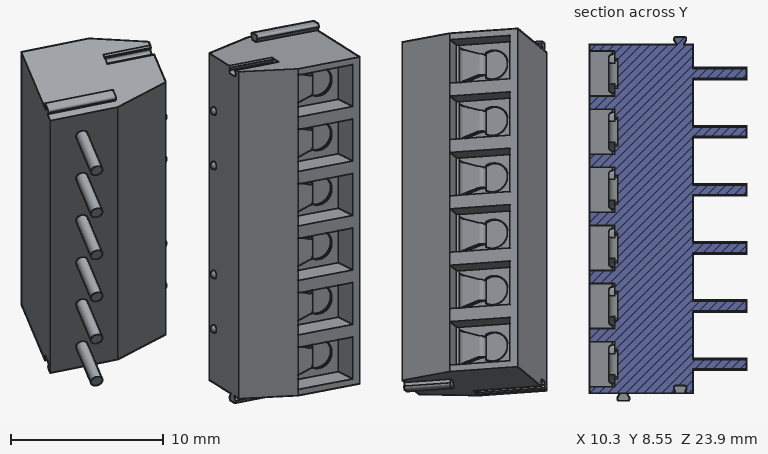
import cadquery as cq
import math

POLES = 6
PITCH = 3.81
BODY_HEIGHT = POLES * PITCH
BODY_WIDTH = 6.8
BODY_DEPTH = 8.3
SHOULDER_Y = 4.62
TAPER_INSET = 1.4

PIN_DIAMETER = 0.8
PIN_LENGTH = 3.5
AXIS_Y = 2.15

WELL_HEIGHT = 2.93
WELL_DEPTH = 1.65
WELL_FRONT_Y = 0.52
WELL_FLOOR_FRONT_Y = 0.7
WELL_CHAMFER = 0.15

HOLE_DIAMETER = 1.95
HOLE_DEPTH = 0.2

TONGUE_HEIGHT = 0.37
TONGUE_REAR_Y = SHOULDER_Y - WELL_CHAMFER
TONGUE_REAR_BEND_Y = TONGUE_REAR_Y - TONGUE_HEIGHT
TONGUE_FRONT_Y = 2.67
TONGUE_FRONT_BEND_Y = TONGUE_FRONT_Y + TONGUE_HEIGHT
TONGUE_REAR_HALF = 1.29
TONGUE_REAR_BEND_HALF = 1.07
TONGUE_FRONT_BEND_HALF = 0.72
TONGUE_FRONT_HALF = 0.68

FRONT_RAIL_INSET = 0.85
FRONT_RAIL_X = BODY_WIDTH - FRONT_RAIL_INSET
REAR_RAIL_X = 2.23
RAIL_HEIGHT = 0.5
RAIL_NECK_HALF = 0.23
RAIL_HEAD_HALF = 0.41
RAIL_HEAD_START = 0.29
RAIL_CORNER_RADIUS = 0.15
SLOT_MOUTH_HALF = 0.47
SLOT_NECK_HALF = 0.31
SLOT_NECK_DEPTH = 0.08
SLOT_HEAD_HALF = 0.41
SLOT_HEAD_START = 0.3
FRONT_RAIL_LENGTH = SHOULDER_Y
REAR_RAIL_LENGTH = 3.15
REAR_SLOT_LENGTH = 3.2

NUB_BOUNDARIES = (1, 2, 4, 5)
NUB_X = 4.7
NUB_HEIGHT = 0.25
NUB_BASE_RADIUS = 0.28


def housing():
    outline = [
        (0, 0),
        (BODY_WIDTH, 0),
        (BODY_WIDTH, SHOULDER_Y),
        (BODY_WIDTH - TAPER_INSET, BODY_DEPTH),
        (TAPER_INSET, BODY_DEPTH),
        (0, SHOULDER_Y),
    ]
    return cq.Workplane("XY").polyline(outline).close().extrude(BODY_HEIGHT)


def tongue(z_center):
    top_x = WELL_DEPTH - TONGUE_HEIGHT
    round_mid = TONGUE_HEIGHT * (1 - math.sqrt(0.5))
    side_profile = (
        cq.Workplane("XY")
        .workplane(offset=z_center - WELL_HEIGHT / 2)
        .moveTo(WELL_DEPTH, TONGUE_FRONT_Y)
        .threePointArc(
            (top_x + round_mid, TONGUE_FRONT_Y + round_mid),
            (top_x, TONGUE_FRONT_BEND_Y),
        )
        .lineTo(top_x, TONGUE_REAR_BEND_Y)
        .threePointArc(
            (top_x + round_mid, TONGUE_REAR_Y - round_mid),
            (WELL_DEPTH, TONGUE_REAR_Y),
        )
        .close()
        .extrude(WELL_HEIGHT)
    )
    half_outline = [
        (TONGUE_FRONT_Y, TONGUE_FRONT_HALF),
        (TONGUE_FRONT_BEND_Y, TONGUE_FRONT_BEND_HALF),
        (TONGUE_REAR_BEND_Y, TONGUE_REAR_BEND_HALF),
        (TONGUE_REAR_Y, TONGUE_REAR_HALF),
    ]
    upper = [(y, z_center + half) for y, half in half_outline]
    lower = [(y, z_center - half) for y, half in reversed(half_outline)]
    flare = cq.Workplane("YZ").polyline(upper + lower).close().extrude(WELL_DEPTH)
    return side_profile.intersect(flare)


def well(z_center):
    section = [
        (0, WELL_FRONT_Y),
        (WELL_DEPTH, WELL_FLOOR_FRONT_Y),
        (WELL_DEPTH, SHOULDER_Y - WELL_CHAMFER),
        (WELL_DEPTH - WELL_CHAMFER, SHOULDER_Y),
        (0, SHOULDER_Y),
    ]
    pocket = (
        cq.Workplane("XY")
        .workplane(offset=z_center - WELL_HEIGHT / 2)
        .polyline(section)
        .close()
        .extrude(WELL_HEIGHT)
    )
    hole = (
        cq.Workplane("YZ")
        .workplane(offset=WELL_DEPTH)
        .center(AXIS_Y, z_center)
        .circle(HOLE_DIAMETER / 2)
        .extrude(HOLE_DEPTH)
    )
    hole_limit = cq.Workplane("XY").box(
        BODY_WIDTH, TONGUE_FRONT_Y, BODY_HEIGHT, centered=False
    )
    hole = hole.intersect(hole_limit)
    return pocket.cut(tongue(z_center)).union(hole)


def pin(z_center):
    return (
        cq.Workplane("YZ")
        .workplane(offset=BODY_WIDTH)
        .center(AXIS_Y, z_center)
        .circle(PIN_DIAMETER / 2)
        .extrude(PIN_LENGTH)
    )


def end_profile(half_outline, x_center, z_base, direction, y_start, length):
    """Mirrored (half width, height) outline starting at z_base, growing in direction, swept along +Y."""
    right = [(x_center + half, z_base + direction * height) for half, height in half_outline]
    left = [(x_center - half, z_base + direction * height) for half, height in reversed(half_outline)]
    far_side = ">Z" if direction > 0 else "<Z"
    return (
        cq.Workplane("XZ", origin=(0, y_start, 0))
        .polyline(right + left)
        .close()
        .extrude(-length)
        .faces(far_side)
        .edges("|Y")
        .fillet(RAIL_CORNER_RADIUS)
    )


def rail(x_center, z_base, direction, y_start, length):
    half_outline = [
        (RAIL_NECK_HALF, 0),
        (RAIL_HEAD_HALF, RAIL_HEAD_START),
        (RAIL_HEAD_HALF, RAIL_HEIGHT),
    ]
    return end_profile(half_outline, x_center, z_base, direction, y_start, length)


def slot(x_center, z_base, direction, y_start, length):
    half_outline = [
        (SLOT_MOUTH_HALF, 0),
        (SLOT_NECK_HALF, SLOT_NECK_DEPTH),
        (SLOT_HEAD_HALF, SLOT_HEAD_START),
        (SLOT_HEAD_HALF, RAIL_HEIGHT),
    ]
    return end_profile(half_outline, x_center, z_base, direction, y_start, length)


def nub(z_center):
    sphere_radius = (NUB_BASE_RADIUS**2 + NUB_HEIGHT**2) / (2 * NUB_HEIGHT)
    center_y = BODY_DEPTH + NUB_HEIGHT - sphere_radius
    return cq.Workplane("XY").sphere(sphere_radius).translate((NUB_X, center_y, z_center))


result = housing()

for pole in range(POLES):
    pole_z = (pole + 0.5) * PITCH
    result = result.cut(well(pole_z)).union(pin(pole_z))

rear_slot_start = BODY_DEPTH - REAR_SLOT_LENGTH
rear_rail_start = BODY_DEPTH - REAR_RAIL_LENGTH
result = result.union(rail(FRONT_RAIL_X, BODY_HEIGHT, 1, 0, FRONT_RAIL_LENGTH))
result = result.union(rail(REAR_RAIL_X, 0, -1, rear_rail_start, REAR_RAIL_LENGTH))
result = result.cut(slot(REAR_RAIL_X, BODY_HEIGHT, -1, rear_slot_start, REAR_SLOT_LENGTH))
result = result.cut(slot(FRONT_RAIL_X, 0, 1, 0, FRONT_RAIL_LENGTH))

for boundary in NUB_BOUNDARIES:
    result = result.union(nub(boundary * PITCH))